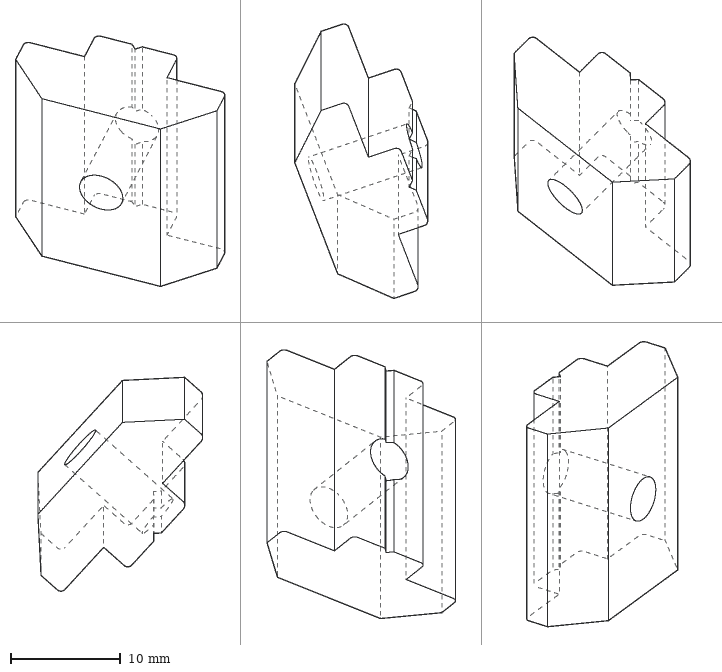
import cadquery as cq

length = 20.0
flange_width = 19.5
total_depth = 9.5
neck_width = 8.0
neck_depth = 3.0
bevel = 4.0
corner_radius = 0.5
notch_depth = 0.5
hole_diameter = 4.2

flange_depth = total_depth - neck_depth


def make_body():
    """Beveled flange with a narrower neck on its +Y side, centred on X and Z."""
    flange = (
        cq.Workplane("XY")
        .box(flange_width, flange_depth, length, centered=(True, False, True))
        .faces("<Y").edges("|Z").chamfer(bevel)
        .faces(">Y").edges("|Z").fillet(corner_radius)
    )
    neck = (
        cq.Workplane("XY")
        .box(neck_width, total_depth, length, centered=(True, False, True))
        .faces(">Y").edges("|Z").fillet(corner_radius)
    )
    return flange.union(neck)


def make_notch():
    """90 degree V groove along the middle of the neck face."""
    return (
        cq.Workplane("XY", origin=(0, 0, -length / 2))
        .moveTo(-notch_depth, total_depth)
        .lineTo(0, total_depth - notch_depth)
        .lineTo(notch_depth, total_depth)
        .close()
        .extrude(length)
    )


def make_hole():
    """Central through hole along Y."""
    return cq.Workplane("XZ").circle(hole_diameter / 2).extrude(-total_depth)


result = make_body().cut(make_notch()).cut(make_hole())